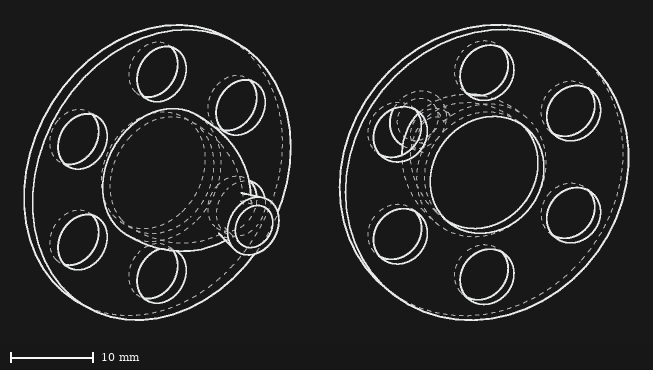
import cadquery as cq
import math

flange_diameter = 36.8
flange_thickness = 2.0
bore_diameter = 14.8
hole_count = 6
hole_diameter = 7.0
hole_circle_radius = 13.0

nozzle_diameter = 16.8
wall = (nozzle_diameter - bore_diameter) / 2
collar_length = 1.03
bell_radius = 20.6
converging_angle = 30.0
diverging_angle = 10.0
throat_start_x = 17.8
throat_arc_radius = 1.3
overall_length = 23.2


def shifted(point, distance, angle):
    """Move an (x, radius) point a distance along a direction given in degrees."""
    x, radius = point
    direction = math.radians(angle)
    return (x + distance * math.cos(direction), radius + distance * math.sin(direction))


def make_flange():
    plate = cq.Workplane("YZ").circle(flange_diameter / 2).extrude(flange_thickness)
    bore = cq.Workplane("YZ").circle(bore_diameter / 2).extrude(flange_thickness)
    holes = (
        cq.Workplane("YZ")
        .polarArray(hole_circle_radius, 90, 360, hole_count)
        .circle(hole_diameter / 2)
        .extrude(flange_thickness)
    )
    return plate.cut(bore).cut(holes)


def make_nozzle():
    bell_start_x = flange_thickness + collar_length
    bell_centre = (bell_start_x, nozzle_diameter / 2 - bell_radius)
    bell_end = shifted(bell_centre, bell_radius, 90 - converging_angle)
    cone_length = (throat_start_x - bell_end[0]) / math.cos(math.radians(converging_angle))
    throat_start = shifted(bell_end, cone_length, -converging_angle)
    throat_centre = shifted(throat_start, throat_arc_radius, 90 - converging_angle)

    throat_end = shifted(throat_centre, throat_arc_radius, diverging_angle - 90)
    exit_lean = wall * math.sin(math.radians(diverging_angle))
    exit_run = overall_length - exit_lean - throat_end[0]
    exit_length = exit_run / math.cos(math.radians(diverging_angle))

    def wall_points(depth):
        """Profile points of the wall surface at a depth below the outer surface."""
        bell = bell_radius - depth
        throat = throat_arc_radius + depth
        throat_mid_angle = (diverging_angle - converging_angle) / 2 - 90
        throat_finish = shifted(throat_centre, throat, diverging_angle - 90)
        return {
            "base": (flange_thickness, nozzle_diameter / 2 - depth),
            "bell_start": shifted(bell_centre, bell, 90),
            "bell_mid": shifted(bell_centre, bell, 90 - converging_angle / 2),
            "bell_end": shifted(bell_centre, bell, 90 - converging_angle),
            "throat_start": shifted(throat_centre, throat, -90 - converging_angle),
            "throat_mid": shifted(throat_centre, throat, throat_mid_angle),
            "throat_end": throat_finish,
            "exit": shifted(throat_finish, exit_length, diverging_angle),
        }

    outer = wall_points(0)
    inner = wall_points(wall)
    profile = (
        cq.Workplane("XY")
        .moveTo(*outer["base"])
        .lineTo(*outer["bell_start"])
        .threePointArc(outer["bell_mid"], outer["bell_end"])
        .lineTo(*outer["throat_start"])
        .threePointArc(outer["throat_mid"], outer["throat_end"])
        .lineTo(*outer["exit"])
        .lineTo(*inner["exit"])
        .lineTo(*inner["throat_end"])
        .threePointArc(inner["throat_mid"], inner["throat_start"])
        .lineTo(*inner["bell_end"])
        .threePointArc(inner["bell_mid"], inner["bell_start"])
        .lineTo(*inner["base"])
        .close()
    )
    return profile.revolve(360, (0, 0, 0), (1, 0, 0))


flange = make_flange()
nozzle = make_nozzle()
result = cq.Compound.makeCompound([flange.val(), nozzle.val()])